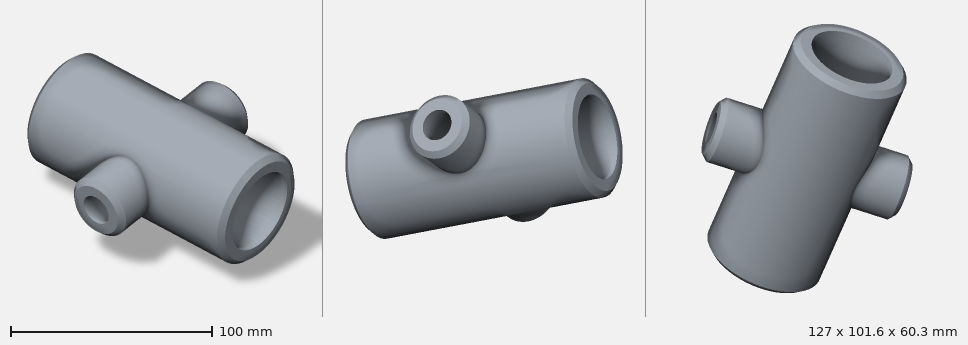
import cadquery as cq

run_length = 127.0
run_diameter = 60.33
branch_span = 101.6
branch_diameter = 33.5
wall = 8.74
bevel = wall / 3

run_bore = run_diameter - 2 * wall
branch_bore = branch_diameter - 2 * wall


def bevelled_bar(plane, length, diameter):
    """Round bar along the plane's local x axis, centred on the origin, with both ends bevelled."""
    half_length = length / 2
    radius = diameter / 2
    half_section = (
        cq.Workplane(plane)
        .moveTo(-half_length, 0)
        .lineTo(-half_length, radius - bevel)
        .lineTo(-half_length + bevel, radius)
        .lineTo(half_length - bevel, radius)
        .lineTo(half_length, radius - bevel)
        .lineTo(half_length, 0)
        .close()
    )
    return half_section.revolve(360, (0, 0, 0), (1, 0, 0))


def through_bore(plane, length, diameter):
    """Cylinder along the plane's normal, centred on the origin, that opens both pipe ends."""
    return cq.Workplane(plane).circle(diameter / 2).extrude(length / 2, both=True)


run = bevelled_bar("XZ", run_length, run_diameter)
branches = bevelled_bar("YZ", branch_span, branch_diameter)
run_passage = through_bore("YZ", run_length, run_bore)
branch_passage = through_bore("XZ", branch_span, branch_bore)

result = run.union(branches).cut(run_passage).cut(branch_passage)